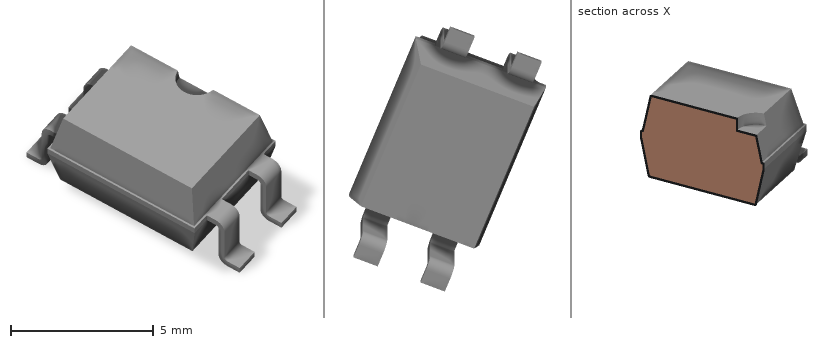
import cadquery as cq
import math

part_length = 9.19
body_width = 4.93

band_length = 6.35
body_standoff = 0.381
half_height = 1.524
lead_thickness = 0.254
band_height = lead_thickness
ledge = 0.0762
draft_angle = 12.0

band_bottom = body_standoff + half_height
band_top = band_bottom + band_height
body_top = band_top + half_height

notch_radius = 0.762
notch_depth = 0.4826
notch_center_y = 2.157

lead_width = 0.9144
lead_pitch = 2.54
lead_outer_face = 3.937
inner_bend_radius = lead_thickness / 2
outer_bend_radius = inner_bend_radius + lead_thickness
lead_inner_face = lead_outer_face - lead_thickness
lead_embed = 0.3


def tapered_half(length, width, base_z, direction):
    """Half of the body, narrowing away from base_z; direction is +1 up or -1 down."""
    inset = half_height * math.tan(math.radians(draft_angle))
    return (
        cq.Workplane("XY", origin=(0, 0, base_z))
        .rect(length, width)
        .workplane(offset=direction * half_height)
        .rect(length - 2 * inset, width - 2 * inset)
        .loft(ruled=True)
    )


def make_body():
    band = (
        cq.Workplane("XY", origin=(0, 0, band_bottom))
        .rect(band_length, body_width)
        .extrude(band_height)
    )
    lower = tapered_half(band_length, body_width, band_bottom, -1)
    upper = tapered_half(band_length - 2 * ledge, body_width - 2 * ledge, band_top, 1)
    notch = (
        cq.Workplane("XY", origin=(0, notch_center_y, body_top))
        .circle(notch_radius)
        .extrude(-notch_depth)
    )
    return band.union(lower).union(upper.cut(notch))


def make_lead(center_y):
    """One lead on the +X side, bent from flat strip: shoulder, leg and foot."""
    root_x = band_length / 2 - lead_embed
    tip_x = part_length / 2
    shoulder_bend_x = lead_outer_face - outer_bend_radius
    foot_bend_x = lead_inner_face + outer_bend_radius
    shoulder_bend_z = band_top - outer_bend_radius
    foot_bend_z = outer_bend_radius
    profile = (
        cq.Workplane("XZ", origin=(0, center_y + lead_width / 2, 0))
        .moveTo(root_x, band_top)
        .lineTo(shoulder_bend_x, band_top)
        .radiusArc((lead_outer_face, shoulder_bend_z), outer_bend_radius)
        .lineTo(lead_outer_face, foot_bend_z)
        .radiusArc((foot_bend_x, lead_thickness), -inner_bend_radius)
        .lineTo(tip_x, lead_thickness)
        .lineTo(tip_x, 0)
        .lineTo(foot_bend_x, 0)
        .radiusArc((lead_inner_face, foot_bend_z), outer_bend_radius)
        .lineTo(lead_inner_face, shoulder_bend_z)
        .radiusArc((shoulder_bend_x, band_bottom), -inner_bend_radius)
        .lineTo(root_x, band_bottom)
        .close()
    )
    return profile.extrude(lead_width)


result = make_body()
for row_side in (-1, 1):
    right_lead = make_lead(row_side * lead_pitch / 2)
    result = result.union(right_lead).union(right_lead.mirror("YZ"))